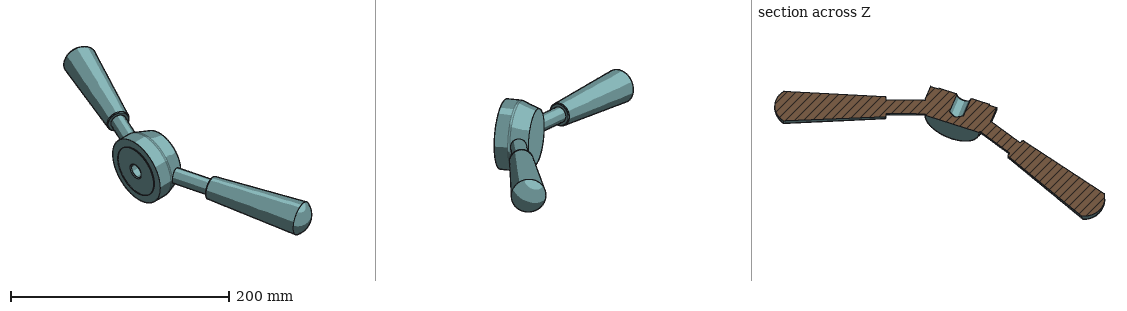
import cadquery as cq
import math

hub_diameter = 65.13
pad_diameter = 49.13
pad_height = 1.0
rim_end = 15.0
hub_length = 32.0
hub_edge_radius = 5.5

hole_diameter = 13.13
hole_mouth_diameter = 15.13
hole_depth = 20.0
drill_point_angle = 118.0

arm_angle = 20.0
arm_axis_y = 12.83
rod_diameter = 15.0
grip_start = 67.0
grip_length = 93.85
grip_small_diameter = 22.0
grip_large_diameter = 32.0
grip_dome_radius = 19.5
grip_rim_chamfer = 0.8


def make_hub():
    """Cylindrical rim with a raised front pad and a back cone that is square to the rods."""
    hub_radius = hub_diameter / 2
    pad_radius = pad_diameter / 2
    back_radius = hub_radius - (hub_length - rim_end) * math.tan(math.radians(arm_angle))
    body = (
        cq.Workplane("XY")
        .moveTo(0, pad_height)
        .lineTo(hub_radius, pad_height)
        .lineTo(hub_radius, rim_end)
        .lineTo(back_radius, hub_length)
        .lineTo(0, hub_length)
        .close()
        .revolve(360, (0, 0, 0), (0, 1, 0))
    )
    selection_margin = 1.0
    rim_corner = cq.selectors.BoxSelector(
        (-hub_radius, rim_end - selection_margin, -hub_radius),
        (hub_radius, rim_end + selection_margin, hub_radius),
    )
    body = body.edges("%CIRCLE").edges(rim_corner).fillet(hub_edge_radius)
    pad = cq.Workplane("XZ").circle(pad_radius).extrude(-pad_height)
    return body.union(pad)


def make_hole():
    """Drilled hole with a 45 degree chamfered mouth and a conical bottom."""
    hole_radius = hole_diameter / 2
    mouth_radius = hole_mouth_diameter / 2
    mouth_depth = mouth_radius - hole_radius
    point_length = hole_radius / math.tan(math.radians(drill_point_angle / 2))
    return (
        cq.Workplane("XY")
        .lineTo(mouth_radius, 0)
        .lineTo(hole_radius, mouth_depth)
        .lineTo(hole_radius, hole_depth)
        .lineTo(0, hole_depth + point_length)
        .close()
        .revolve(360, (0, 0, 0), (0, 1, 0))
    )


def make_arm():
    """Rod and domed grip leaning back on the +X side."""
    rod_radius = rod_diameter / 2
    small_radius = grip_small_diameter / 2
    large_radius = grip_large_diameter / 2
    grip_end = grip_start + grip_length
    dome_center = grip_end - math.sqrt(grip_dome_radius**2 - large_radius**2)
    dome_tip = dome_center + grip_dome_radius
    dome_middle_angle = math.asin(large_radius / grip_dome_radius) / 2
    dome_middle = (
        dome_center + grip_dome_radius * math.cos(dome_middle_angle),
        grip_dome_radius * math.sin(dome_middle_angle),
    )
    return (
        cq.Workplane("XY")
        .lineTo(0, rod_radius)
        .lineTo(grip_start, rod_radius)
        .lineTo(grip_start, small_radius - grip_rim_chamfer)
        .lineTo(grip_start + grip_rim_chamfer, small_radius)
        .lineTo(grip_end, large_radius)
        .threePointArc(dome_middle, (dome_tip, 0))
        .close()
        .revolve(360, (0, 0, 0), (1, 0, 0))
        .rotate((0, 0, 0), (0, 0, 1), arm_angle)
        .translate((0, arm_axis_y, 0))
    )


right_arm = make_arm()
left_arm = right_arm.mirror("YZ")
result = make_hub().union(right_arm).union(left_arm).cut(make_hole())